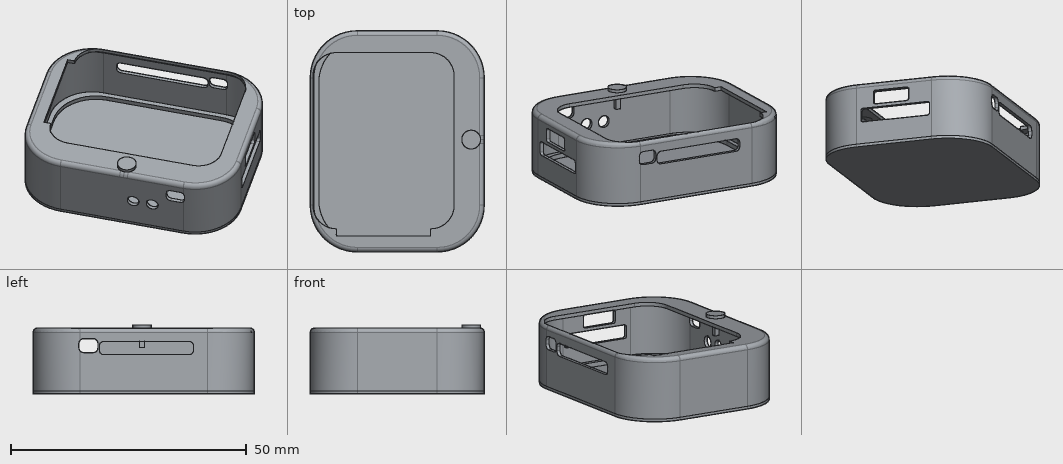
import cadquery as cq

CASE_WIDTH = 37.0
CASE_LENGTH = 47.0
CORNER_RADIUS = 10.0
TOTAL_HEIGHT = 14.65
BUTTON_RISE = 0.65
CASE_TOP = TOTAL_HEIGHT - BUTTON_RISE
TOP_FILLET = 1.0

PLATE_THICKNESS = 0.6
LIP_HEIGHT = 1.0
LIP_INSET = 1.85

WALL = 0.8
ROOF = 0.8
CAVITY_TOP = CASE_TOP - ROOF
CAVITY_RADIUS = CORNER_RADIUS - WALL

OPENING_WIDTH = 30.0
OPENING_LENGTH = 37.4
OPENING_RADIUS = 5.0
OPENING_X = -2.9
OPENING_Y = 0.15
NOTCH_WIDTH = 20.0
NOTCH_DEPTH = 1.5

CUT_THICKNESS = 4 * WALL

SIDE_CORNER_RADIUS = 1.0
SIDE_SLOT_LENGTH = 20.0
SIDE_SLOT_HEIGHT = 2.8
SIDE_SLOT_Y = -0.55
SIDE_SLOT_Z = 9.75
SIDE_HOLE_LENGTH = 4.0
SIDE_HOLE_HEIGHT = 2.9
SIDE_HOLE_Y = 11.75
SIDE_HOLE_Z = 10.25

END_SLOT_CORNER_RADIUS = 0.5
END_SLOT_HEIGHT = 3.0
LOWER_END_SLOT_LENGTH = 15.5
LOWER_END_SLOT_X = -0.25
LOWER_END_SLOT_BOTTOM = 5.4
UPPER_END_SLOT_LENGTH = 8.0
UPPER_END_SLOT_X = 0.7
UPPER_END_SLOT_BOTTOM = 9.1

ROUND_HOLE_DIAMETER = 2.6
ROUND_HOLE_Z = 6.7
ROUND_HOLE_YS = (2.5, 6.67)

BUTTON_DIAMETER = 4.0
BUTTON_X = 15.7
BUTTON_Y = 0.38
STEM_SIDE = 1.0
STEM_BOTTOM = 9.85


def rounded_block(inset, radius, bottom, top):
    """Block between two heights: the case rectangle moved inwards by inset, with rounded corners."""
    return (
        cq.Workplane("XY", origin=(0, 0, bottom))
        .rect(CASE_WIDTH - 2 * inset, CASE_LENGTH - 2 * inset)
        .extrude(top - bottom)
        .edges("|Z")
        .fillet(radius)
    )


def x_wall_cut(side, length, height, y, z):
    """Rounded rectangular cutter through the wall on the given side (-1 or 1) of the X axis."""
    return (
        cq.Workplane("XY")
        .box(CUT_THICKNESS, length, height)
        .edges("|X")
        .fillet(SIDE_CORNER_RADIUS)
        .translate((side * CASE_WIDTH / 2, y, z))
    )


def end_slot(length, x, bottom):
    """Rounded rectangular cutter through the +Y wall."""
    return (
        cq.Workplane("XY")
        .box(length, CUT_THICKNESS, END_SLOT_HEIGHT)
        .edges("|Y")
        .fillet(END_SLOT_CORNER_RADIUS)
        .translate((x, CASE_LENGTH / 2, bottom + END_SLOT_HEIGHT / 2))
    )


def screen_opening():
    """Cutter for the rounded opening in the roof, together with its tab notch."""
    opening = (
        cq.Workplane("XY", origin=(OPENING_X, OPENING_Y, CAVITY_TOP))
        .rect(OPENING_WIDTH, OPENING_LENGTH)
        .extrude(ROOF)
        .edges("|Z")
        .fillet(OPENING_RADIUS)
    )
    notch_y = OPENING_Y - OPENING_LENGTH / 2
    notch = (
        cq.Workplane("XY", origin=(OPENING_X, notch_y, CAVITY_TOP))
        .rect(NOTCH_WIDTH, 2 * NOTCH_DEPTH)
        .extrude(ROOF)
    )
    return opening.union(notch)


def button_disc():
    """Button disc; the same shape cuts its seat in the roof."""
    return (
        cq.Workplane("XY", origin=(BUTTON_X, BUTTON_Y, CAVITY_TOP))
        .circle(BUTTON_DIAMETER / 2)
        .extrude(TOTAL_HEIGHT - CAVITY_TOP)
    )


def round_hole(y):
    """Cutter for one round hole through the +X wall."""
    start_x = CASE_WIDTH / 2 - CUT_THICKNESS / 2
    hole = cq.Workplane("YZ", origin=(start_x, y, ROUND_HOLE_Z))
    return hole.circle(ROUND_HOLE_DIAMETER / 2).extrude(CUT_THICKNESS)


def make_plate():
    """Flat back plate with a raised lip that fits inside the housing."""
    base = rounded_block(0, CORNER_RADIUS, 0, PLATE_THICKNESS)
    lip_top = PLATE_THICKNESS + LIP_HEIGHT
    lip = rounded_block(WALL, CAVITY_RADIUS, PLATE_THICKNESS, lip_top)
    lip_inside = rounded_block(LIP_INSET, CAVITY_RADIUS, PLATE_THICKNESS, lip_top)
    return base.union(lip.cut(lip_inside))


def make_housing():
    """Hollow shell with a rounded top edge, an open bottom and cut-outs in three walls."""
    shell = rounded_block(0, CORNER_RADIUS, PLATE_THICKNESS, CASE_TOP).cut(button_disc())
    outer_top_edges = shell.faces(">Z").val().outerWire().Edges()
    shell = shell.newObject(outer_top_edges).fillet(TOP_FILLET)
    shell = shell.cut(screen_opening()).cut(rounded_block(WALL, CAVITY_RADIUS, PLATE_THICKNESS, CAVITY_TOP))
    for y in ROUND_HOLE_YS:
        shell = shell.cut(round_hole(y))
    shell = shell.cut(x_wall_cut(-1, SIDE_SLOT_LENGTH, SIDE_SLOT_HEIGHT, SIDE_SLOT_Y, SIDE_SLOT_Z))
    for side in (-1, 1):
        shell = shell.cut(x_wall_cut(side, SIDE_HOLE_LENGTH, SIDE_HOLE_HEIGHT, SIDE_HOLE_Y, SIDE_HOLE_Z))
    shell = shell.cut(end_slot(LOWER_END_SLOT_LENGTH, LOWER_END_SLOT_X, LOWER_END_SLOT_BOTTOM))
    return shell.cut(end_slot(UPPER_END_SLOT_LENGTH, UPPER_END_SLOT_X, UPPER_END_SLOT_BOTTOM))


def make_button():
    """Button disc with its stem reaching down into the cavity."""
    stem = (
        cq.Workplane("XY", origin=(BUTTON_X, BUTTON_Y, STEM_BOTTOM))
        .rect(STEM_SIDE, STEM_SIDE)
        .extrude(CAVITY_TOP - STEM_BOTTOM)
    )
    return button_disc().union(stem)


plate = make_plate()
housing = make_housing()
button = make_button()
result = cq.Compound.makeCompound([plate.val(), housing.val(), button.val()])